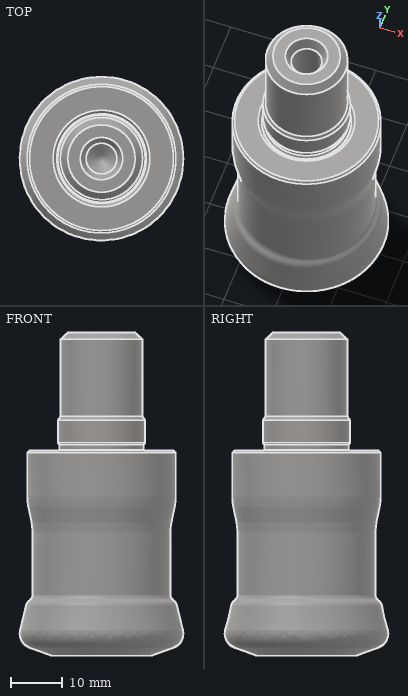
import cadquery as cq
import math

TOTAL_HEIGHT = 63.0
STEM_DIA = 16.0
STEM_TIP_DIA = 13.1
STEM_TIP_CHAMFER_HEIGHT = 1.4
COLLAR_DIA = 17.0
COLLAR_TOP_Z = 46.6
COLLAR_BOTTOM_Z = 41.15
COLLAR_TOP_CHAMFER_HEIGHT = 0.7
COLLAR_BOTTOM_CHAMFER_HEIGHT = 0.345
NECK_DIA = 16.5
NECK_BOTTOM_Z = 40.1
SHANK_DIA = 17.45
CENTRE_HOLE_DIA = 6.0
CENTRE_HOLE_DEPTH = 12.6
CENTRE_HOLE_MOUTH_DIA = 8.25
CENTRE_MOUTH_ANGLE = 60.0
DRILL_POINT_ANGLE = 118.0

HEAD_DIA = 29.0
HEAD_TOP_Z = 40.0
HEAD_CHAMFER = 0.47
WAIST_DIA = 26.9
TAPER_TOP_Z = 30.0
TAPER_BOTTOM_Z = 25.1
TAPER_FILLET = 10.1
SOCKET_DEPTH = 12.6
SOCKET_MOUTH_DIA = 18.85
SOCKET_MOUTH_DEPTH = 0.7

FOOT_TOP_Z = 11.4
FOOT_SHOULDER_DIA = 29.25
FOOT_RIM_DIA = 33.0
FOOT_RIM_Z = 2.45
FOOT_BASE_DIA = 19.4
FOOT_TOP_FILLET = 1.1
FOOT_SHOULDER_FILLET = 1.45
FOOT_RIM_FILLET = 2.9

SOCKET_FLOOR_Z = HEAD_TOP_Z - SOCKET_DEPTH


def revolve_profile(points):
    """Revolve a closed (radius, z) outline about the Z axis."""
    return cq.Workplane("XZ").polyline(points).close().revolve(360, (0, 0, 0), (0, 1, 0))


def fillet_ring(body, z, radius):
    """Round the circular edge lying at height z."""
    margin = 0.005
    reach = FOOT_RIM_DIA
    ring = cq.selectors.BoxSelector(
        (-reach, -reach, z - margin), (reach, reach, z + margin), boundingbox=True
    )
    return body.edges(ring).fillet(radius)


def make_stem():
    stem_r = STEM_DIA / 2
    collar_r = COLLAR_DIA / 2
    neck_r = NECK_DIA / 2
    shank_r = SHANK_DIA / 2
    hole_r = CENTRE_HOLE_DIA / 2
    mouth_r = CENTRE_HOLE_MOUTH_DIA / 2
    mouth_depth = (mouth_r - hole_r) / math.tan(math.radians(CENTRE_MOUTH_ANGLE / 2))
    point_depth = hole_r / math.tan(math.radians(DRILL_POINT_ANGLE / 2))
    hole_end_z = TOTAL_HEIGHT - CENTRE_HOLE_DEPTH
    return revolve_profile([
        (0, SOCKET_FLOOR_Z),
        (shank_r, SOCKET_FLOOR_Z),
        (shank_r, NECK_BOTTOM_Z - (shank_r - neck_r)),
        (neck_r, NECK_BOTTOM_Z),
        (neck_r, COLLAR_BOTTOM_Z),
        (collar_r, COLLAR_BOTTOM_Z + COLLAR_BOTTOM_CHAMFER_HEIGHT),
        (collar_r, COLLAR_TOP_Z - COLLAR_TOP_CHAMFER_HEIGHT),
        (stem_r, COLLAR_TOP_Z),
        (stem_r, TOTAL_HEIGHT - STEM_TIP_CHAMFER_HEIGHT),
        (STEM_TIP_DIA / 2, TOTAL_HEIGHT),
        (mouth_r, TOTAL_HEIGHT),
        (hole_r, TOTAL_HEIGHT - mouth_depth),
        (hole_r, hole_end_z),
        (0, hole_end_z - point_depth),
    ])


def make_knob():
    head_r = HEAD_DIA / 2
    waist_r = WAIST_DIA / 2
    socket_r = SHANK_DIA / 2
    shoulder_r = FOOT_SHOULDER_DIA / 2
    shoulder_z = FOOT_TOP_Z - (shoulder_r - waist_r)
    knob = revolve_profile([
        (0, 0),
        (FOOT_BASE_DIA / 2, 0),
        (FOOT_RIM_DIA / 2, FOOT_RIM_Z),
        (shoulder_r, shoulder_z),
        (waist_r, FOOT_TOP_Z),
        (waist_r, TAPER_BOTTOM_Z),
        (head_r, TAPER_TOP_Z),
        (head_r, HEAD_TOP_Z - HEAD_CHAMFER),
        (head_r - HEAD_CHAMFER, HEAD_TOP_Z),
        (SOCKET_MOUTH_DIA / 2, HEAD_TOP_Z),
        (socket_r, HEAD_TOP_Z - SOCKET_MOUTH_DEPTH),
        (socket_r, SOCKET_FLOOR_Z),
        (0, SOCKET_FLOOR_Z),
    ])
    for z, radius in (
        (FOOT_RIM_Z, FOOT_RIM_FILLET),
        (shoulder_z, FOOT_SHOULDER_FILLET),
        (FOOT_TOP_Z, FOOT_TOP_FILLET),
        (TAPER_BOTTOM_Z, TAPER_FILLET),
        (TAPER_TOP_Z, TAPER_FILLET),
    ):
        knob = fillet_ring(knob, z, radius)
    return knob


stem = make_stem()
knob = make_knob()
result = cq.Compound.makeCompound([stem.val(), knob.val()])